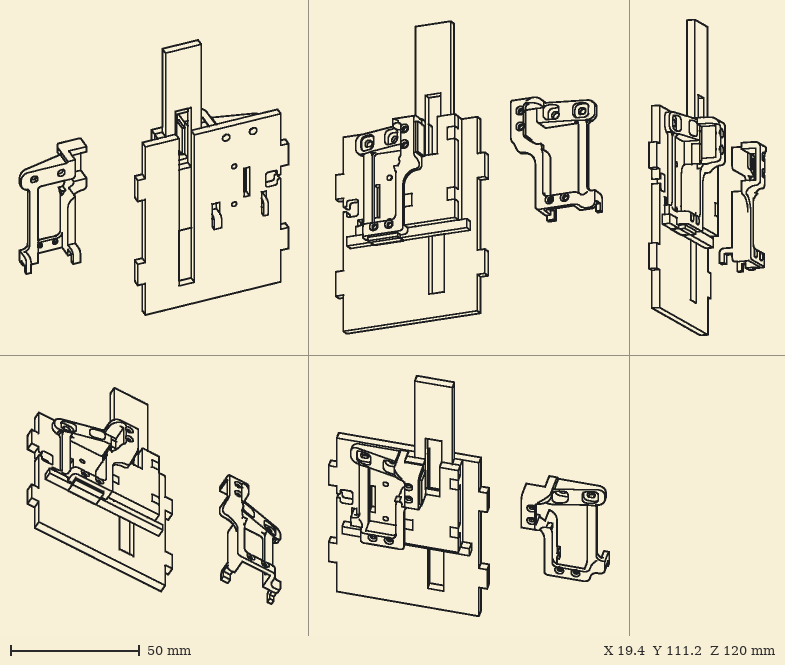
import cadquery as cq
import math


sheet = 3.2
panel_half_width = 28.5
panel_height = 80.2
tab_height = 10.1
tab_bottoms = (15.0, 55.0)

overall_height = 120.0
channel_y = -11.2
slot_half_width = sheet
stem_half_width = 7.5
channel_half_width = stem_half_width + sheet
panel_slot_bottom = 10.0
stem_end_margin = 29.0
cover_notch_bottom = 64.9
crossbar_half_length = 25.5
crossbar_bottom = 33.7
crossbar_top = 37.5
cover_front = -2 * sheet
rail_tab_height = 5.0
rail_tab_bottoms = (45.0, 70.1)

switch_length = 12.6
switch_width = 6.5
switch_depth = 5.9

wall = 1.8
bracket_bottom = 34.9
bracket_top = 79.7
leg_inner = channel_y + channel_half_width
leg_width = 3.1
leg_outer = leg_inner + leg_width
strut_inner = leg_outer + switch_length
strut_width = 3.6
strut_outer = strut_inner + strut_width
bracket_outer = 22.5
bar_front = -switch_depth - wall
bar_top = 40.0
plate_top = 41.8
arm_bottom = 71.0
arm_top = 79.1
arm_end_radius = 2.9
arm_hole_spacing = 11.4
arm_hole_inner_y = 5.5
arm_hole_z = (arm_bottom + arm_top) / 2
arm_hole_diameter = 3.0
arm_recess_size = 6.0
arm_recess_radius = 1.9
grip_front = -14.3
grip_side = channel_y + slot_half_width
grip_plate_edge = -2.4
grip_pocket_front = cover_front - switch_depth
grip_pocket_top = 77.2
grip_pocket_bottom = grip_pocket_top - switch_length
grip_floor = 62.4
grip_corner_radius = 4.7
small_radius = 1.5
foot_radius = 2.0
toe_radius = 2.3

hook_width = 1.9
hook_tip = sheet + hook_width
hook_bottom = 37.8
hook_slot_top = 45.0
inner_hook_drop = 0.7
outer_hook_span = (bracket_outer - hook_width, bracket_outer)
inner_hook_span = (leg_inner, leg_outer)

screw_diameter = 2.0
screw_head_diameter = 3.5
screw_spacing = 6.5
grip_screw_y = -3.8
grip_screw_z = 67.8
bar_screw_y = 5.6
bar_screw_z = 38.4


same_point = 1.2e-06


def box(x0, x1, y0, y1, z0, z1):
    """A block between two opposite corners."""
    return cq.Workplane("XY").box(x1 - x0, y1 - y0, z1 - z0, centered=False).translate((x0, y0, z0))


def rounded_outline(plane, corners):
    """A closed outline through (u, v, radius) corners, each rounded by a tangent arc."""
    stretches = []
    for i, (u, v, radius) in enumerate(corners):
        before = corners[i - 1]
        after = corners[(i + 1) % len(corners)]
        corner = cq.Vector(u, v)
        if radius == 0:
            stretches.append((corner, None, corner))
            continue
        to_before = (cq.Vector(before[0], before[1]) - corner).normalized()
        to_after = (cq.Vector(after[0], after[1]) - corner).normalized()
        half_angle = to_before.getAngle(to_after) / 2
        setback = radius / math.tan(half_angle)
        bisector = (to_before + to_after).normalized()
        middle = corner + bisector * (radius / math.sin(half_angle) - radius)
        stretches.append((corner + to_before * setback, middle, corner + to_after * setback))
    here = stretches[0][0]
    outline = cq.Workplane(plane).moveTo(here.x, here.y)
    for start, middle, end in stretches:
        if (start - here).Length > same_point:
            outline = outline.lineTo(start.x, start.y)
        if middle is not None:
            outline = outline.threePointArc((middle.x, middle.y), (end.x, end.y))
        here = end
    return outline.close()


def along_x(corners, x0, x1):
    """A (y, z, radius) outline extruded from x0 to x1."""
    return rounded_outline("YZ", corners).extrude(x1 - x0).translate((x0, 0, 0))


def along_y(corners, y0, y1):
    """An (x, z, radius) outline extruded from y0 to y1."""
    return rounded_outline("XZ", corners).extrude(y0 - y1).translate((0, y0, 0))


def along_z(corners, z0, z1):
    """An (x, y, radius) outline extruded from z0 to z1."""
    return rounded_outline("XY", corners).extrude(z1 - z0).translate((0, 0, z0))


def hole_along_x(diameter, x0, x1, y, z):
    return cq.Workplane("YZ").center(y, z).circle(diameter / 2).extrude(x1 - x0).translate((x0, 0, 0))


def inside_corner(along, u, v, u_way, v_way, radius, start, end):
    """The concave fillet that fills the inside corner (u, v), opening towards u_way and v_way."""
    sharp = [(u, v, 0), (u + u_way * radius, v, 0), (u + u_way * radius, v + v_way * radius, 0),
             (u, v + v_way * radius, 0)]
    square = along(sharp, start, end)
    far = 2 * radius
    round_corner = [(u, v, radius), (u + u_way * far, v, 0), (u + u_way * far, v + v_way * far, 0),
                    (u, v + v_way * far, 0)]
    return square.cut(along(round_corner, start, end))


def cable_notch():
    """Rounded opening joined to the +Y edge of the panel by a narrow neck."""
    inner_y, lip_y, bottom, top, corner = 22.2, 27.1, 46.8, 53.6, 1.1
    neck_bottom, neck_top, lip_round = 49.3, 51.1, 0.6
    clear_y = panel_half_width + sheet
    opening = [
        (inner_y, bottom, corner), (lip_y, bottom, corner), (lip_y, neck_bottom, lip_round),
        (panel_half_width, neck_bottom, lip_round), (panel_half_width, neck_bottom - lip_round, 0),
        (clear_y, neck_bottom - lip_round, 0), (clear_y, neck_top + lip_round, 0),
        (panel_half_width, neck_top + lip_round, 0), (panel_half_width, neck_top, lip_round),
        (lip_y, neck_top, lip_round), (lip_y, top, corner), (inner_y, top, corner),
    ]
    return along_x(opening, 0, sheet)


def make_panel():
    panel = box(0, sheet, -panel_half_width, panel_half_width, 0, panel_height)
    tab_reach = panel_half_width + sheet
    for bottom in tab_bottoms:
        panel = panel.union(box(0, sheet, -tab_reach, tab_reach, bottom, bottom + tab_height))
    panel = panel.cut(box(0, sheet, channel_y - slot_half_width, channel_y + slot_half_width,
                          panel_slot_bottom, panel_height))
    panel = panel.cut(cable_notch())
    for y in (arm_hole_inner_y, arm_hole_inner_y + arm_hole_spacing):
        panel = panel.cut(hole_along_x(arm_hole_diameter, 0, sheet, y, arm_hole_z))
    small_hole_y, small_hole_zs = 8.9, (42.5, 60.5)
    for z in small_hole_zs:
        panel = panel.cut(hole_along_x(screw_diameter, 0, sheet, small_hole_y, z))
    window_edge, window_bottom, window_top = 13.1, 44.8, 58.3
    panel = panel.cut(box(0, sheet, window_edge, strut_inner, window_bottom, window_top))
    for y0, y1 in (outer_hook_span, inner_hook_span):
        panel = panel.cut(box(0, sheet, y0, y1, hook_bottom, hook_slot_top))
    return panel


def make_slide():
    stem = box(-sheet, 0, channel_y - stem_half_width, channel_y + stem_half_width,
               crossbar_bottom, overall_height)
    crossbar = box(-sheet, 0, -crossbar_half_length, crossbar_half_length, crossbar_bottom, crossbar_top)
    slot = box(-sheet, 0, channel_y - slot_half_width, channel_y + slot_half_width,
               crossbar_bottom + stem_end_margin, overall_height - stem_end_margin)
    return stem.union(crossbar).cut(slot)


def make_rail(inner_y, outer_y):
    y0, y1 = min(inner_y, outer_y), max(inner_y, outer_y)
    rail = box(-sheet, 0, y0, y1, crossbar_top, panel_height)
    for bottom in rail_tab_bottoms:
        rail = rail.union(box(cover_front, -sheet, y0, y1, bottom, bottom + rail_tab_height))
    return rail


def make_cover(rails):
    cover = box(cover_front, -sheet, channel_y - channel_half_width, channel_y + channel_half_width,
                crossbar_top, panel_height)
    cover = cover.cut(box(cover_front, -sheet, channel_y - slot_half_width, channel_y + slot_half_width,
                          cover_notch_bottom, panel_height))
    for rail in rails:
        cover = cover.cut(rail)
    return cover


def grip_and_leg():
    """Leg that swings sideways and forwards into a C-shaped grip around the upper switch."""
    side_bend_z, side_bend_radius = 59.4, 5.6
    front_bend_radius = 4.8
    inner_slope_start, inner_slope_end, inner_bend_radius = 63.4, 60.2, 4.5
    profile_yz = [
        (leg_inner, bracket_bottom, small_radius), (leg_inner, side_bend_z, side_bend_radius),
        (grip_side, side_bend_z, leg_inner - grip_side - side_bend_radius), (grip_side, bracket_top, 0),
        (leg_outer, bracket_top, 0), (leg_outer, grip_pocket_top, 0),
        (grip_plate_edge, grip_pocket_top, small_radius),
        (grip_plate_edge, inner_slope_start, small_radius),
        (leg_outer, inner_slope_end, inner_bend_radius), (leg_outer, bracket_bottom, 0),
    ]
    top_round = 2.3
    profile_xz = [
        (cover_front, bracket_bottom, 0), (bar_front, bracket_bottom, 0),
        (bar_front, grip_floor, front_bend_radius),
        (grip_front, grip_floor, bar_front - grip_front - front_bend_radius),
        (grip_front, bracket_top, top_round), (cover_front, bracket_top, 0),
    ]
    profile_xy = [
        (grip_front, grip_side, 0), (cover_front, grip_side, 0), (cover_front, leg_outer, 0),
        (grip_front, leg_outer, grip_corner_radius),
    ]
    outline = along_x(profile_yz, grip_front, 0)
    step_bottom, step_top = 59.5, 61.3
    step = box(grip_front, cover_front, leg_inner, leg_outer, step_bottom, step_top)
    front = outline.union(step).intersect(along_y(profile_xz, grip_side, leg_outer))
    front = front.intersect(along_z(profile_xy, bracket_bottom, bracket_top))
    front = front.cut(box(grip_pocket_front, cover_front, grip_side, leg_outer,
                          grip_pocket_bottom, grip_pocket_top))
    back = outline.intersect(box(cover_front, 0, leg_inner, leg_outer, bracket_bottom, grip_floor))
    return front.union(back)


def arm_taper():
    """Tall wedge that thins from the leg to the outer end of the arm."""
    wedge = [
        (cover_front, leg_inner, 0), (0, leg_inner, 0), (0, bracket_outer, 0),
        (-wall, bracket_outer, 0), (cover_front, leg_outer, 0),
    ]
    return along_z(wedge, bracket_bottom, bracket_top)


def arm_recess(y):
    """Rounded square recess around one arm hole, with a floor one wall thick."""
    half = arm_recess_size / 2
    square = [
        (y - half, arm_hole_z - half, arm_recess_radius), (y + half, arm_hole_z - half, arm_recess_radius),
        (y + half, arm_hole_z + half, arm_recess_radius), (y - half, arm_hole_z + half, arm_recess_radius),
    ]
    return along_x(square, cover_front, -wall)


def arm():
    """Tapered arm between the grip and the strut, with two recessed holes."""
    step = bracket_top - arm_top
    outline = [
        (leg_inner, arm_bottom, small_radius), (bracket_outer, arm_bottom, arm_end_radius),
        (bracket_outer, arm_top, arm_end_radius), (leg_outer + step, arm_top, 0),
        (leg_outer, bracket_top, 0), (leg_inner, bracket_top, 0),
    ]
    strut_fillet = inside_corner(along_y, -wall, arm_bottom, -1, -1, foot_radius, strut_inner, strut_outer)
    body = along_x(outline, cover_front, 0).union(strut_fillet).intersect(arm_taper())
    for y in (arm_hole_inner_y, arm_hole_inner_y + arm_hole_spacing):
        body = body.cut(arm_recess(y))
        body = body.cut(hole_along_x(arm_hole_diameter, cover_front, 0, y, arm_hole_z))
    return body


def cranked_foot():
    """Bar across the bottom that turns back to the panel and ends in a plate behind the hooks."""
    wall_outer = strut_inner + foot_radius
    profile_xy = [
        (0, strut_inner, 0), (0, bracket_outer, 0), (-wall, bracket_outer, 0),
        (-wall, wall_outer, foot_radius), (bar_front, wall_outer, foot_radius),
        (bar_front, leg_outer, 0), (-switch_depth, leg_outer, 0), (-switch_depth, strut_inner, 0),
    ]
    profile_xz = [
        (bar_front, bracket_bottom, 0), (0, bracket_bottom, 0), (0, plate_top, 0), (-wall, plate_top, 0),
        (-wall, bar_top, plate_top - bar_top), (bar_front, bar_top, 0),
    ]
    profile_yz = [
        (leg_outer, bracket_bottom, 0), (bracket_outer, bracket_bottom, toe_radius),
        (bracket_outer, plate_top, 0), (leg_outer, plate_top, 0),
    ]
    foot = along_z(profile_xy, bracket_bottom, plate_top)
    foot = foot.intersect(along_y(profile_xz, leg_outer, bracket_outer))
    return foot.intersect(along_x(profile_yz, bar_front, 0))


def strut():
    """Thin upright between the arm and the foot, flared at both ends."""
    body = box(-wall, 0, strut_inner, strut_outer, bracket_bottom, arm_bottom + arm_end_radius)
    flares = (
        (strut_outer, plate_top, 1, 1, toe_radius),
        (strut_outer, arm_bottom, 1, -1, small_radius),
        (strut_inner, arm_bottom, -1, -1, small_radius),
    )
    for y, z, y_way, z_way, radius in flares:
        body = body.union(inside_corner(along_x, y, z, y_way, z_way, radius, -wall, 0))
    return body


def hook(y0, y1, tip_z, top_z):
    """Hook that passes through the panel and drops behind it."""
    outline = [
        (0, hook_bottom, 0), (sheet, hook_bottom, 0), (sheet, tip_z, 0), (hook_tip, tip_z, 0),
        (hook_tip, top_z, wall), (0, top_z, 0),
    ]
    return along_y(outline, y0, y1)


def screw_hole(front, y, z):
    """Countersunk hole through one wall of the bracket."""
    radius, head_radius = screw_diameter / 2, screw_head_diameter / 2
    direction = cq.Vector(1, 0, 0)
    sink = cq.Solid.makeCone(head_radius, radius, head_radius - radius, cq.Vector(front, y, z), direction)
    return hole_along_x(screw_diameter, front, front + 2 * wall, y, z).union(cq.Workplane(sink))


def make_bracket():
    bracket = grip_and_leg().union(strut()).union(arm()).union(cranked_foot())
    bracket = bracket.union(inside_corner(along_x, leg_outer, bar_top, 1, 1, foot_radius,
                                          bar_front, -switch_depth))
    bracket = bracket.union(hook(*outer_hook_span, bracket_bottom, plate_top))
    bracket = bracket.union(hook(*inner_hook_span, bracket_bottom - inner_hook_drop, bar_top))
    for offset in (0, screw_spacing):
        bracket = bracket.cut(screw_hole(grip_front, grip_screw_y, grip_screw_z + offset))
        bracket = bracket.cut(screw_hole(bar_front, bar_screw_y + offset, bar_screw_z))
    return bracket


panel = make_panel()
slide = make_slide()
rails = [
    make_rail(channel_y + side * stem_half_width, channel_y + side * channel_half_width)
    for side in (-1, 1)
]
cover = make_cover(rails)

whole_bracket = make_bracket()
bracket = whole_bracket.cut(slide)
spare_bracket = whole_bracket.mirror("XZ", (0, -panel_half_width, 0))

upper_switch = box(grip_pocket_front, cover_front, grip_plate_edge - switch_width, grip_plate_edge,
                   grip_pocket_bottom, grip_pocket_top)
lower_switch = box(-switch_depth, 0, leg_outer, strut_inner, bar_top - switch_width, bar_top).cut(slide)

bodies = [panel, slide, *rails, cover, bracket, spare_bracket, upper_switch, lower_switch]
result = cq.Compound.makeCompound([body.solids().val() for body in bodies])